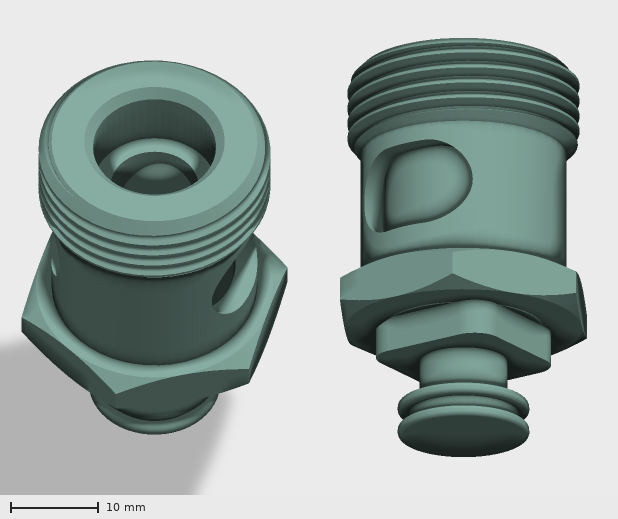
import cadquery as cq
import math

total_height = 44.0
thread_length = 10.0
thread_bottom = total_height - thread_length
neck_bottom = 9.0
hex_bottom = 13.0
hex_height = 5.0
hex_top = hex_bottom + hex_height

hex_across_flats = 27.0
hex_turn = 30
hex_corner_diameter = hex_across_flats / math.cos(math.radians(hex_turn))
hex_chamfer_angle = math.radians(30)
barrel_diameter = 23.44
bore_diameter = 18.5
seat_diameter = 14.0
seat_depth = 8.0
seat_chamfer = 1.0
port_diameter = 10.0
web_thickness = 2.0
seat_floor = total_height - seat_depth
bore_top = seat_floor - web_thickness

window_width = 15.0
window_height = 10.0
window_center_z = 27.0

thread_diameter = 26.44
thread_pitch = 1.814
thread_depth = 1.162
thread_half_angle = math.radians(27.5)
thread_root_width = 0.3
groove_start_angle = 180.0
groove_start_z = 32.62
groove_turns = 7
groove_overshoot = 0.2
thread_chamfer = (thread_diameter - barrel_diameter) / 2

plug_diameter = 18.0
neck_side = 16.0
neck_corner_radius = 3.0
neck_bevel_radius = plug_diameter / 2
neck_bevel_angle = math.radians(30)
stem_diameter = 10.0
head_height = 4.0
head_diameter = 15.0
head_edge_radius = 0.5
flange_thickness = 1.25
groove_diameter = 12.5


def cylinder(diameter, bottom, top):
    return cq.Workplane("XY").workplane(offset=bottom).circle(diameter / 2).extrude(top - bottom)


def make_hex():
    """Hexagon with flats facing +X and -X, its corners bevelled at both ends."""
    hexagon = (
        cq.Workplane("XY")
        .workplane(offset=hex_bottom)
        .polygon(6, hex_corner_diameter)
        .extrude(hex_height)
        .rotate((0, 0, 0), (0, 0, 1), hex_turn)
    )
    face_radius = hex_across_flats / 2
    reach = hex_height / 2
    wide_radius = face_radius + reach / math.tan(hex_chamfer_angle)
    double_cone = (
        cq.Workplane("XZ")
        .moveTo(0, hex_bottom)
        .lineTo(face_radius, hex_bottom)
        .lineTo(wide_radius, hex_bottom + reach)
        .lineTo(face_radius, hex_top)
        .lineTo(0, hex_top)
        .close()
        .revolve()
    )
    return hexagon.intersect(double_cone)


def make_thread_groove():
    """Right-hand helical groove that runs out past both ends of the thread."""
    root_radius = thread_diameter / 2 - thread_depth
    outer_radius = thread_diameter / 2 + groove_overshoot
    root_half = thread_root_width / 2
    mouth_half = root_half + (outer_radius - root_radius) * math.tan(thread_half_angle)
    path = cq.Wire.makeHelix(thread_pitch, thread_pitch * groove_turns, root_radius)
    groove = (
        cq.Workplane("XZ")
        .moveTo(root_radius, -root_half)
        .lineTo(outer_radius, -mouth_half)
        .lineTo(outer_radius, mouth_half)
        .lineTo(root_radius, root_half)
        .close()
        .sweep(cq.Workplane(path), isFrenet=True)
    )
    return groove.rotate((0, 0, 0), (0, 0, 1), groove_start_angle).translate((0, 0, groove_start_z))


def make_thread():
    """Threaded rod longer than the groove, trimmed to a blank with bevelled ends."""
    groove_height = thread_pitch * groove_turns
    end_margin = 2 * thread_pitch
    rod = cylinder(
        thread_diameter,
        groove_start_z - end_margin,
        groove_start_z + groove_height + end_margin,
    )
    blank = cylinder(thread_diameter, thread_bottom, total_height).faces("<Z or >Z").chamfer(thread_chamfer)
    return blank.intersect(rod.cut(make_thread_groove()))


def make_windows():
    """Obround cutter along X that opens the wall on both sides."""
    return (
        cq.Workplane("YZ")
        .center(0, window_center_z)
        .slot2D(window_width, window_height)
        .extrude(hex_across_flats / 2, both=True)
    )


def make_housing():
    housing = cylinder(barrel_diameter, hex_top, thread_bottom).union(make_hex()).union(make_thread())
    seat = cylinder(seat_diameter, seat_floor, total_height)
    countersink = cq.Workplane("XY").add(
        cq.Solid.makeCone(
            seat_diameter / 2, seat_diameter / 2 + seat_chamfer, seat_chamfer,
            pnt=cq.Vector(0, 0, total_height - seat_chamfer),
        )
    )
    port = cylinder(port_diameter, bore_top, seat_floor)
    bore = cylinder(bore_diameter, hex_bottom, bore_top)
    for cutter in (seat, countersink, port, bore, make_windows()):
        housing = housing.cut(cutter)
    return housing


def make_neck():
    """Rounded square neck; its +X -Y top corner is bevelled outside the plug's base."""
    neck = (
        cq.Workplane("XY")
        .workplane(offset=neck_bottom)
        .rect(neck_side, neck_side)
        .extrude(hex_bottom - neck_bottom)
        .edges("|Z")
        .fillet(neck_corner_radius)
    )
    bevel_outer = neck_side
    bevel_drop = (bevel_outer - neck_bevel_radius) * math.tan(neck_bevel_angle)
    bevel = (
        cq.Workplane("XZ")
        .moveTo(neck_bevel_radius, hex_bottom)
        .lineTo(bevel_outer, hex_bottom)
        .lineTo(bevel_outer, hex_bottom - bevel_drop)
        .close()
        .revolve(90, (0, 0), (0, 1))
        .rotate((0, 0, 0), (0, 0, 1), -90)
    )
    return neck.cut(bevel)


def make_head():
    """Two round-edged flanges with a seal groove between them."""
    head = cylinder(groove_diameter, 0, head_height)
    for bottom in (0, head_height - flange_thickness):
        flange = cylinder(head_diameter, bottom, bottom + flange_thickness).edges().fillet(head_edge_radius)
        head = head.union(flange)
    return head


def make_v_pocket():
    """Round pocket below the port whose floor is a 90 degree valley along X."""
    half = port_diameter / 2
    valley = (
        cq.Workplane("YZ")
        .moveTo(-half, bore_top)
        .lineTo(half, bore_top)
        .lineTo(0, bore_top - half)
        .close()
        .extrude(half, both=True)
    )
    return valley.intersect(cylinder(port_diameter, bore_top - half, bore_top))


def make_plug():
    barrel = cylinder(plug_diameter, hex_bottom, bore_top)
    stem = cylinder(stem_diameter, head_height, neck_bottom)
    return barrel.union(make_neck()).union(stem).union(make_head()).cut(make_v_pocket())


housing = make_housing()
plug = make_plug()
result = cq.Compound.makeCompound([housing.val(), plug.val()])